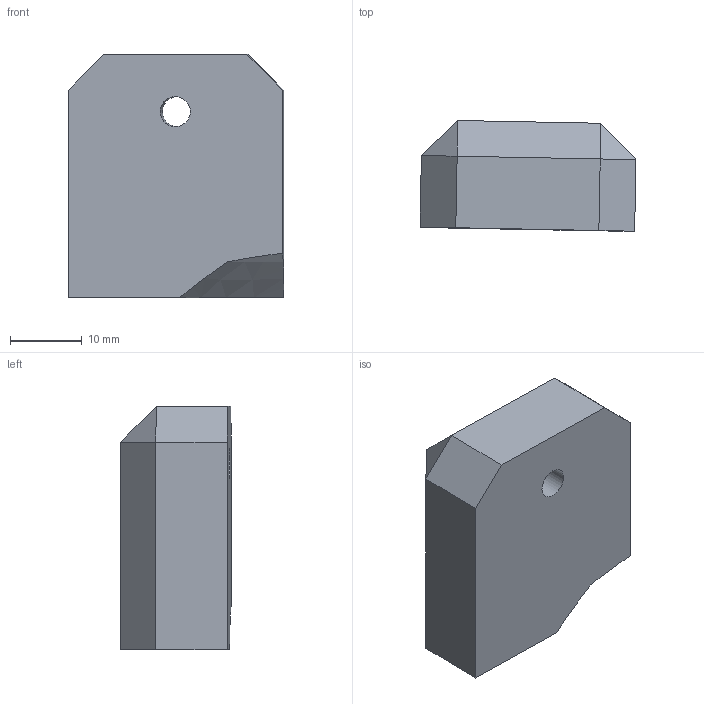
import cadquery as cq

WIDTH = 30.0
DEPTH = 15.0
HEIGHT = 34.0
CHAMFER = 5.0
YAW = -1.1

HOLE_DIAMETER = 4.2
HOLE_X = WIDTH / 2
HOLE_Z = 26.0

RELIEF_AXIS_X = 37.1
RELIEF_AXIS_Y = -16.0
RELIEF_SHOULDER_Z = 5.0
RELIEF_SHOULDER_RADIUS = 21.8
RELIEF_FLARE = 1.0
RELIEF_ROOF_SLOPE = 0.28


def chamfered_block():
    """Block with the side, top and rear edges chamfered; front and bottom edges stay sharp."""
    block = cq.Workplane("XY").box(WIDTH, DEPTH, HEIGHT, centered=False)
    return block.edges("(>Z and (not <Y)) or (>Y and |Z)").chamfer(CHAMFER)


def through_hole():
    """Cylinder along Y across the full depth."""
    start = cq.Workplane("XZ", origin=(HOLE_X, 0, HOLE_Z))
    return start.circle(HOLE_DIAMETER / 2).extrude(-DEPTH)


def corner_relief():
    """Flared cone below the shoulder with a shallow conical roof above it."""
    base_radius = RELIEF_SHOULDER_RADIUS + RELIEF_FLARE * RELIEF_SHOULDER_Z
    apex_z = RELIEF_SHOULDER_Z + RELIEF_ROOF_SLOPE * RELIEF_SHOULDER_RADIUS
    half_section = (
        cq.Workplane("XZ", origin=(RELIEF_AXIS_X, RELIEF_AXIS_Y, 0))
        .lineTo(base_radius, 0)
        .lineTo(RELIEF_SHOULDER_RADIUS, RELIEF_SHOULDER_Z)
        .lineTo(0, apex_z)
        .close()
    )
    return half_section.revolve(360, (0, 0, 0), (0, 1, 0))


block = chamfered_block().cut(through_hole()).cut(corner_relief())
result = block.rotate((0, 0, 0), (0, 0, 1), YAW)